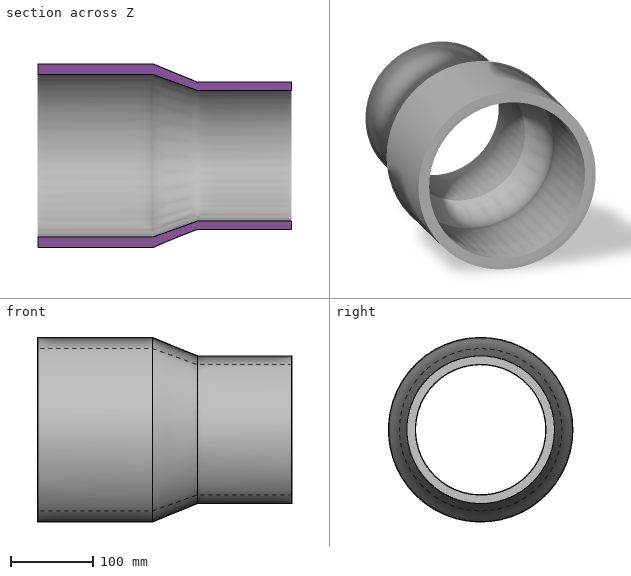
import cadquery as cq

total_length = 310.0
wide_length = 140.0
narrow_length = 115.0
wide_outer_diameter = 225.0
wide_bore_diameter = 198.0
narrow_outer_diameter = 180.0
narrow_bore_diameter = 158.7

wide_end_x = -total_length / 2
taper_start_x = wide_end_x + wide_length
narrow_end_x = total_length / 2
taper_end_x = narrow_end_x - narrow_length


def reducer_body(wide_diameter, narrow_diameter):
    """Solid of revolution about X: wide cylinder, cone, narrow cylinder."""
    wide_radius = wide_diameter / 2
    narrow_radius = narrow_diameter / 2
    return (
        cq.Workplane("XY")
        .moveTo(wide_end_x, 0)
        .lineTo(wide_end_x, wide_radius)
        .lineTo(taper_start_x, wide_radius)
        .lineTo(taper_end_x, narrow_radius)
        .lineTo(narrow_end_x, narrow_radius)
        .lineTo(narrow_end_x, 0)
        .close()
        .revolve(360, (0, 0, 0), (1, 0, 0))
    )


outer_body = reducer_body(wide_outer_diameter, narrow_outer_diameter)
bore = reducer_body(wide_bore_diameter, narrow_bore_diameter)
result = outer_body.cut(bore)